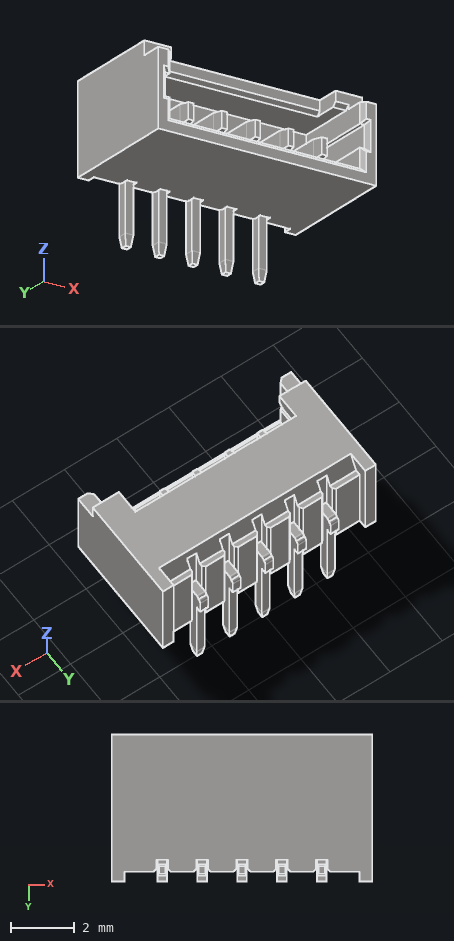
import cadquery as cq
import math


LENGTH = 8.16
DEPTH = 4.6
HEIGHT = 3.305

WALL = 0.51
CAVITY_DEPTH = 3.215
GROOVE_DEPTH = 0.16
GROOVE_BOTTOM = 1.24
GROOVE_TOP = 2.06
MOUTH_CHAMFER = 0.15

FRONT_STEP = 0.79
WINDOW_WIDTH = 6.15
WINDOW_BACK = 1.69

END_WALL = 0.41
RECESS_DEPTH = 0.78
RAMP_RUN = 0.285
RAMP_ANGLE = 65
SHELF_BACK_GAP = 0.3

PIN_COUNT = 5
PITCH = 1.25
PIN_WIDTH = 0.31
BLADE_HEIGHT = 0.7
BLADE_BOTTOM = 0.82
BLADE_TIP = 0.55
BLADE_TIP_WIDTH = 0.195
BLADE_TIP_HEIGHT = 0.59
TAPER = 0.41
LEG_THICKNESS = 0.35
LEG_BACK_GAP = 0.19
LEG_LENGTH = 2.15
LEG_TIP_WIDTH = 0.195
LEG_TIP_THICKNESS = 0.23

SLOT_WIDTH = 0.36
SLOT_END_GAP = 0.68
SLOT_CHAMFER = 0.09

ceiling = HEIGHT - WALL
shelf_back = DEPTH - SHELF_BACK_GAP
ramp_top = DEPTH - RECESS_DEPTH
ramp_bottom = ramp_top + RAMP_RUN
shelf_height = HEIGHT - RAMP_RUN * math.tan(math.radians(RAMP_ANGLE))
leg_back = DEPTH - LEG_BACK_GAP
leg_front = leg_back - LEG_THICKNESS
blade_top = BLADE_BOTTOM + BLADE_HEIGHT
blade_middle = BLADE_BOTTOM + BLADE_HEIGHT / 2
pin_positions = [(i - (PIN_COUNT - 1) / 2) * PITCH for i in range(PIN_COUNT)]


def box(x_size, y_range, z_range):
    """Box centred on X = 0 spanning the given Y and Z ranges."""
    y_size = y_range[1] - y_range[0]
    z_size = z_range[1] - z_range[0]
    corner = cq.Workplane("XY", origin=(0, y_range[0], z_range[0]))
    return corner.box(x_size, y_size, z_size, centered=(True, False, False))


def extrude_along_x(profile, width):
    """Extrude a closed (Y, Z) profile symmetrically about X = 0."""
    return profile.close().extrude(width / 2, both=True)


def cavity_outline(y, grow):
    """Cavity cross-section at depth y, with every wall moved outward by grow."""
    half = LENGTH / 2 - WALL + grow
    groove_half = half + GROOVE_DEPTH
    right_side = [
        (half, WALL - grow),
        (half, GROOVE_BOTTOM - grow),
        (groove_half, GROOVE_BOTTOM - grow),
        (groove_half, GROOVE_TOP + grow),
        (half, GROOVE_TOP + grow),
        (half, ceiling + grow),
    ]
    left_side = [(-x, z) for x, z in reversed(right_side)]
    points = [cq.Vector(x, y, z) for x, z in right_side + left_side]
    return cq.Wire.makePolygon(points, close=True)


def make_cavity():
    front = cavity_outline(0, 0)
    room = cq.Solid.extrudeLinear(front, [], cq.Vector(0, CAVITY_DEPTH, 0))
    flare_outlines = [cavity_outline(0, MOUTH_CHAMFER), cavity_outline(MOUTH_CHAMFER, 0)]
    flare = cq.Solid.makeLoft(flare_outlines, ruled=True)
    return cq.Workplane(room).union(cq.Workplane(flare))


def make_ceiling_chamfer(width, y):
    """Wedge that bevels the lower front edge of the top wall where it ends at y."""
    profile = cq.Workplane("YZ").polyline(
        [(y, ceiling), (y + MOUTH_CHAMFER, ceiling), (y, ceiling + MOUTH_CHAMFER)]
    )
    return extrude_along_x(profile, width)


def make_recess():
    """Space above the ramp and the shelf, and behind the shelf."""
    profile = cq.Workplane("YZ").polyline(
        [
            (ramp_top, HEIGHT),
            (ramp_bottom, shelf_height),
            (shelf_back, shelf_height),
            (shelf_back, 0),
            (DEPTH, 0),
            (DEPTH, HEIGHT),
        ]
    )
    return extrude_along_x(profile, LENGTH - 2 * END_WALL)


def make_pin_slot():
    """Vertical slot open at the back, with a flared entry."""
    half = SLOT_WIDTH / 2
    entry = half + SLOT_CHAMFER
    slot_end = DEPTH - SLOT_END_GAP
    flare_end = shelf_back - SLOT_CHAMFER
    outline = [
        (-half, slot_end),
        (half, slot_end),
        (half, flare_end),
        (entry, shelf_back),
        (-entry, shelf_back),
        (-half, flare_end),
    ]
    return cq.Workplane("XY").polyline(outline).close().extrude(HEIGHT)


def make_housing():
    body = box(LENGTH, (0, DEPTH), (0, HEIGHT))
    body = body.cut(box(LENGTH, (0, FRONT_STEP), (ceiling, HEIGHT)))
    body = body.cut(box(WINDOW_WIDTH, (0, WINDOW_BACK), (ceiling, HEIGHT)))
    body = body.cut(make_cavity())
    body = body.cut(make_ceiling_chamfer(LENGTH - 2 * WALL, FRONT_STEP))
    body = body.cut(make_ceiling_chamfer(WINDOW_WIDTH, WINDOW_BACK))
    body = body.cut(make_recess())
    for x in pin_positions:
        body = body.cut(make_pin_slot().translate((x, 0, 0)))
    return body


def make_pin():
    """Blade along Y joined to a leg along -Z, with tapered tips and a heel of two rounded steps."""
    radius = LEG_BACK_GAP / 2
    bulge = radius * math.sqrt(0.5)
    step_back = leg_back + radius
    step_height = blade_top - radius
    profile = (
        cq.Workplane("YZ")
        .moveTo(BLADE_TIP + TAPER, BLADE_BOTTOM)
        .lineTo(BLADE_TIP + TAPER, blade_top)
        .lineTo(leg_back, blade_top)
        .threePointArc((leg_back + bulge, step_height + bulge), (step_back, step_height))
        .threePointArc((step_back + bulge, step_height - radius + bulge), (DEPTH, step_height - radius))
        .lineTo(DEPTH, BLADE_BOTTOM)
        .lineTo(leg_back, BLADE_BOTTOM)
        .lineTo(leg_back, TAPER - LEG_LENGTH)
        .lineTo(leg_front, TAPER - LEG_LENGTH)
        .lineTo(leg_front, BLADE_BOTTOM)
    )
    stem = extrude_along_x(profile, PIN_WIDTH)
    blade_tip = (
        cq.Workplane("XZ", origin=(0, BLADE_TIP + TAPER, blade_middle))
        .rect(PIN_WIDTH, BLADE_HEIGHT)
        .workplane(offset=TAPER)
        .rect(BLADE_TIP_WIDTH, BLADE_TIP_HEIGHT)
        .loft()
    )
    leg_tip = (
        cq.Workplane("XY", origin=(0, (leg_front + leg_back) / 2, -LEG_LENGTH))
        .rect(LEG_TIP_WIDTH, LEG_TIP_THICKNESS)
        .workplane(offset=TAPER)
        .rect(PIN_WIDTH, LEG_THICKNESS)
        .loft()
    )
    return stem.union(blade_tip).union(leg_tip)


result = make_housing()
for x in pin_positions:
    result = result.union(make_pin().translate((x, 0, 0)))